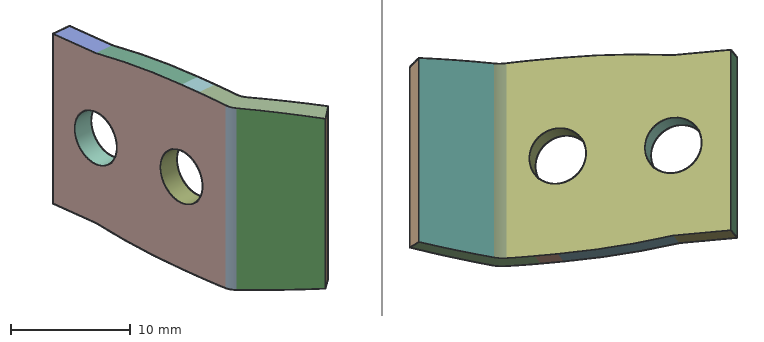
import cadquery as cq
import math

length = 27.0
depth = 6.5
end_height = 16.0
crown_height = 17.36
thickness = 2.0
bend_angle = math.radians(37.9)
bend_radius = 1.6
hole_diameter = 4.9
first_hole_x = 5.0
hole_pitch = 10.0
hole_count = 2

arc_start_x = 5.0
arc_run = 10.0
crown_start_x = arc_start_x + arc_run
crown_end_x = length - arc_run
half_end = end_height / 2
half_crown = crown_height / 2
arc_rise = half_crown - half_end
edge_radius = (arc_run**2 + arc_rise**2) / (2 * arc_rise)

tip_outer = (length, depth - thickness * math.cos(bend_angle))
tip_inner = (length - thickness * math.sin(bend_angle), depth)
inner_bend_x = tip_inner[0] - (depth - thickness) / math.tan(bend_angle)
outer_bend_x = tip_outer[0] - tip_outer[1] / math.tan(bend_angle)


def bent_plate():
    """Constant-thickness bent section, extruded along Z and centred on Z = 0."""
    plate = (
        cq.Workplane("XY")
        .polyline([
            (0, 0),
            (outer_bend_x, 0),
            tip_outer,
            tip_inner,
            (inner_bend_x, thickness),
            (0, thickness),
        ])
        .close()
        .extrude(half_crown, both=True)
    )
    for corner in [(outer_bend_x, 0, 0), (inner_bend_x, thickness, 0)]:
        plate = plate.edges(cq.selectors.NearestToPointSelector(corner)).fillet(bend_radius)
    return plate


def side_outline():
    """Solid with the bulged outline, extruded along +Y through the full depth."""
    mid_run = arc_run / 2
    mid_z = half_crown - edge_radius + math.sqrt(edge_radius**2 - mid_run**2)
    rise_mid_x = crown_start_x - mid_run
    fall_mid_x = crown_end_x + mid_run
    return (
        cq.Workplane("XZ")
        .moveTo(0, -half_end)
        .lineTo(0, half_end)
        .lineTo(arc_start_x, half_end)
        .threePointArc((rise_mid_x, mid_z), (crown_start_x, half_crown))
        .lineTo(crown_end_x, half_crown)
        .threePointArc((fall_mid_x, mid_z), (length, half_end))
        .lineTo(length, -half_end)
        .threePointArc((fall_mid_x, -mid_z), (crown_end_x, -half_crown))
        .lineTo(crown_start_x, -half_crown)
        .threePointArc((rise_mid_x, -mid_z), (arc_start_x, -half_end))
        .close()
        .extrude(-depth)
    )


def mounting_holes():
    """Cylinders along Y through the flat plate, in a row along X."""
    centres = [(first_hole_x + i * hole_pitch, 0) for i in range(hole_count)]
    return cq.Workplane("XZ").pushPoints(centres).circle(hole_diameter / 2).extrude(-thickness)


result = bent_plate().intersect(side_outline()).cut(mounting_holes())